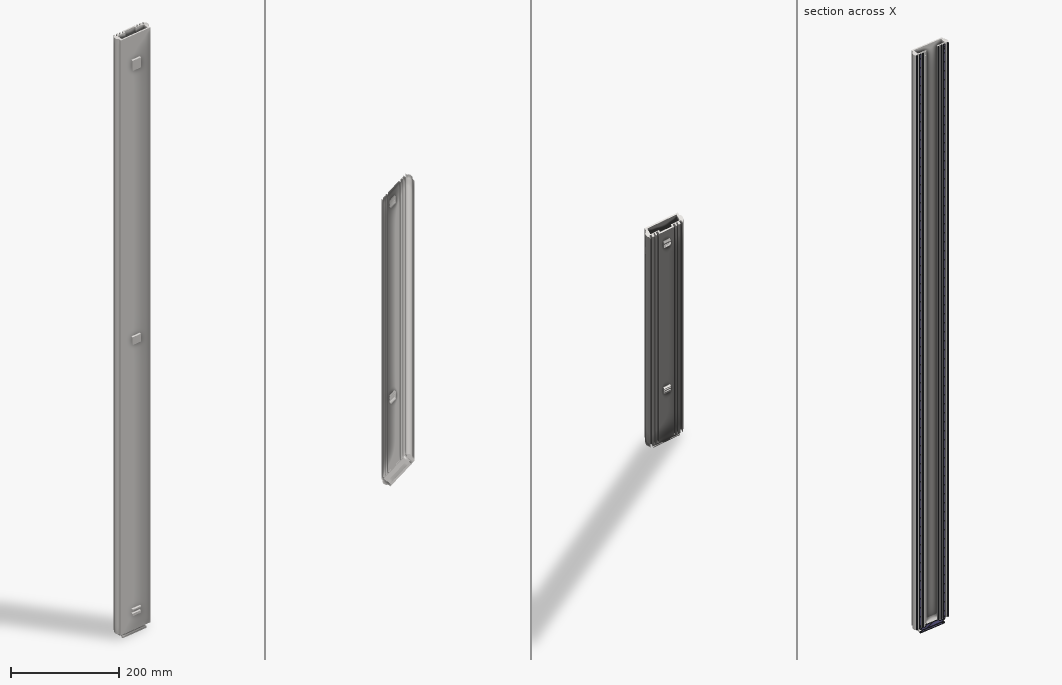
import cadquery as cq


HALF_THICKNESS = 11.0
HALF_WIDTH = 38.0
SHOULDER_Y = 34.0
NOSE_X = (-8.0, 5.0)
GROOVE_DEPTH = 5.0
PANEL_HALF_WIDTH = 15.0
PANEL_THICKNESS = 3.0
GROOVES = ((PANEL_HALF_WIDTH, 19.0), (22.0, 25.0), (29.0, 33.0))
CAVITY_X = (-4.0, 8.0)
CAVITY_HALF_WIDTH = 30.0
PANEL_BACK_X = -HALF_THICKNESS + PANEL_THICKNESS
PANEL_CAVITY_HALF_WIDTH = 12.0

LENGTH = 1372.0
TOP_CAP_HEIGHT = 11.0
PROFILE_TOP = LENGTH - TOP_CAP_HEIGHT
PROFILE_BOTTOM = 15.0
RIM_BOTTOM = 11.0
PLUG_BOTTOM = 4.0
NOTCH_TOP = 23.0

PROJECTION = 4.0
PAD_HALF_WIDTH = 10.0
PADS = ((1293.0, 1317.0), (667.0, 685.0), (59.0, 62.0), (47.0, 52.0))
LATCH_HALF_WIDTH = 7.0
LATCH_GROOVE_WIDTH = 4.0
LATCH_GROOVE_DEPTH = 1.0
UPPER_LATCH = (1313.0, 1278.0)
UPPER_LATCH_GROOVES = (1284.0, 1290.0, 1298.0)
LOWER_LATCH = (325.0, 362.0)
LOWER_LATCH_GROOVES = (343.0, 355.0)

PLUG_HALF_WIDTH = 29.0
PLUG_X = (-10.0, 4.0)

FOOT_HALF_WIDTH = 27.0
RAIL_X = (-11.0, -3.0)
LEG_X = (4.0, 8.0)
WEB_BOTTOM = 2.0
STEM_HALF_WIDTH = 7.0


def block(x_range, y_range, z_range):
    """Rectangular block between the given limits."""
    sizes = [end - start for start, end in (x_range, y_range, z_range)]
    corner = cq.Vector(x_range[0], y_range[0], z_range[0])
    return cq.Workplane(cq.Solid.makeBox(*sizes, corner))


def centered_block(x_range, half_width, z_range):
    """Rectangular block centred on y = 0."""
    return block(x_range, (-half_width, half_width), z_range)


def solid_section(z_range):
    """Solid bar with flat sides, square shoulders, a rounded nose at each end and side grooves."""
    nose_start, nose_end = NOSE_X
    nose_middle = (nose_start + nose_end) / 2
    bar = (
        cq.Workplane("XY", origin=(0, 0, z_range[0]))
        .moveTo(-HALF_THICKNESS, -SHOULDER_Y)
        .lineTo(nose_start, -SHOULDER_Y)
        .threePointArc((nose_middle, -HALF_WIDTH), (nose_end, -SHOULDER_Y))
        .lineTo(HALF_THICKNESS, -SHOULDER_Y)
        .lineTo(HALF_THICKNESS, SHOULDER_Y)
        .lineTo(nose_end, SHOULDER_Y)
        .threePointArc((nose_middle, HALF_WIDTH), (nose_start, SHOULDER_Y))
        .lineTo(-HALF_THICKNESS, SHOULDER_Y)
        .close()
        .extrude(z_range[1] - z_range[0])
    )
    groove_x = (-HALF_THICKNESS, -HALF_THICKNESS + GROOVE_DEPTH)
    for start, end in GROOVES:
        bar = bar.cut(block(groove_x, (start, end), z_range))
        bar = bar.cut(block(groove_x, (-end, -start), z_range))
    return bar


def hollow_section(z_range):
    """Grooved bar with its through cavity, which is deeper behind the middle panel."""
    cavity = centered_block(CAVITY_X, CAVITY_HALF_WIDTH, z_range)
    panel_cavity = centered_block((PANEL_BACK_X, CAVITY_X[1]), PANEL_CAVITY_HALF_WIDTH, z_range)
    return solid_section(z_range).cut(cavity).cut(panel_cavity)


def panel(z_range):
    """Piece of the middle panel of the -X side."""
    return centered_block((-HALF_THICKNESS, PANEL_BACK_X), PANEL_HALF_WIDTH, z_range)


def latch(ends, groove_heights):
    """Raised latch on the -X side with one 45 degree end and cross grooves."""
    sloped_end, square_end = ends
    slope_height = PROJECTION if square_end > sloped_end else -PROJECTION
    outer_x = -HALF_THICKNESS - PROJECTION
    body = (
        cq.Workplane("XZ")
        .moveTo(-HALF_THICKNESS, sloped_end)
        .lineTo(outer_x, sloped_end + slope_height)
        .lineTo(outer_x, square_end)
        .lineTo(-HALF_THICKNESS, square_end)
        .close()
        .extrude(LATCH_HALF_WIDTH, both=True)
    )
    for height in groove_heights:
        groove_z = (height - LATCH_GROOVE_WIDTH / 2, height + LATCH_GROOVE_WIDTH / 2)
        body = body.cut(centered_block((outer_x, outer_x + LATCH_GROOVE_DEPTH), LATCH_HALF_WIDTH, groove_z))
    return body


def make_profile():
    """Profile whose panel runs on over the top cap and stops short at the bottom notch."""
    body = hollow_section((PROFILE_BOTTOM, PROFILE_TOP))
    body = body.union(panel((PROFILE_TOP, LENGTH)))
    body = body.cut(panel((PROFILE_BOTTOM, NOTCH_TOP)))
    for pad_z in PADS:
        pad_x = (HALF_THICKNESS, HALF_THICKNESS + PROJECTION)
        body = body.union(centered_block(pad_x, PAD_HALF_WIDTH, pad_z))
    body = body.union(latch(UPPER_LATCH, UPPER_LATCH_GROOVES))
    return body.union(latch(LOWER_LATCH, LOWER_LATCH_GROOVES))


def make_top_cap():
    """Open frame that continues the section behind the panel."""
    cap_z = (PROFILE_TOP, LENGTH)
    return hollow_section(cap_z).cut(panel(cap_z))


def make_foot():
    """Rail and narrower leg joined by a web, with a stem that rises into the panel notch."""
    web = centered_block((RAIL_X[0], LEG_X[1]), FOOT_HALF_WIDTH, (WEB_BOTTOM, PLUG_BOTTOM))
    rail = centered_block(RAIL_X, FOOT_HALF_WIDTH, (0, PLUG_BOTTOM))
    leg = centered_block(LEG_X, FOOT_HALF_WIDTH, (0, PLUG_BOTTOM))
    stem = centered_block((-HALF_THICKNESS, PANEL_BACK_X), STEM_HALF_WIDTH, (0, NOTCH_TOP))
    return web.union(rail).union(leg).union(stem)


def make_bottom_cap(foot_body):
    """Rim under the profile, a tongue filling the notch and a tapered plug, slotted for the stem."""
    rim = solid_section((RIM_BOTTOM, PROFILE_BOTTOM))
    tongue = panel((RIM_BOTTOM, NOTCH_TOP))
    taper = RIM_BOTTOM - PLUG_BOTTOM
    plug = (
        cq.Workplane("YZ", origin=(PLUG_X[0], 0, 0))
        .moveTo(-PLUG_HALF_WIDTH, RIM_BOTTOM)
        .lineTo(taper - PLUG_HALF_WIDTH, PLUG_BOTTOM)
        .lineTo(PLUG_HALF_WIDTH - taper, PLUG_BOTTOM)
        .lineTo(PLUG_HALF_WIDTH, RIM_BOTTOM)
        .close()
        .extrude(PLUG_X[1] - PLUG_X[0])
    )
    return rim.union(tongue).union(plug).cut(foot_body)


profile = make_profile()
top_cap = make_top_cap()
foot = make_foot()
bottom_cap = make_bottom_cap(foot)

result = cq.Compound.makeCompound([profile.val(), top_cap.val(), bottom_cap.val(), foot.val()])